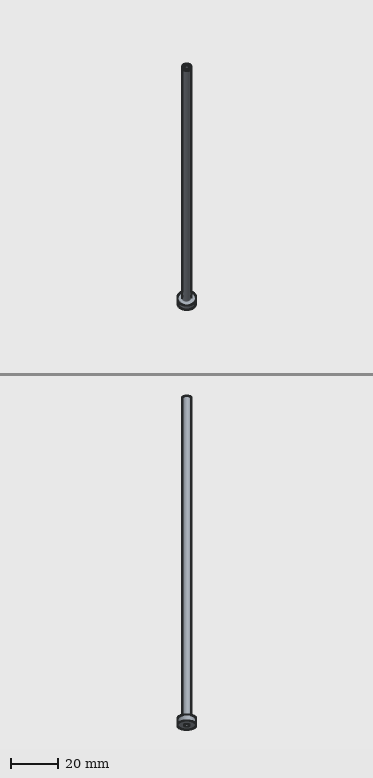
import cadquery as cq

total_length = 160.0
head_diameter = 8.0
head_height = 3.0
tube_diameter = 4.0
bore_diameter = 2.2
neck_fillet_radius = 0.3


def revolved_body():
    """Head and tube as one solid, with a fillet where the tube meets the head."""
    head_radius = head_diameter / 2
    tube_radius = tube_diameter / 2
    profile = (
        cq.Workplane("XZ")
        .lineTo(head_radius, 0)
        .lineTo(head_radius, head_height)
        .lineTo(tube_radius + neck_fillet_radius, head_height)
        .radiusArc((tube_radius, head_height + neck_fillet_radius), neck_fillet_radius)
        .lineTo(tube_radius, total_length)
        .lineTo(0, total_length)
        .close()
    )
    return profile.revolve(360, (0, 0, 0), (0, 1, 0))


def through_bore():
    """Straight bore along the whole length."""
    return cq.Workplane("XY").circle(bore_diameter / 2).extrude(total_length)


result = revolved_body().cut(through_bore())